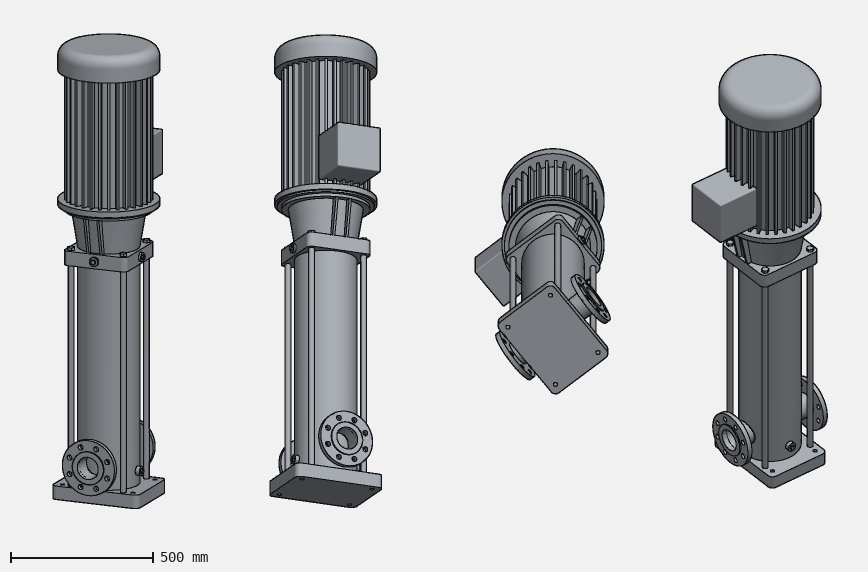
import cadquery as cq
import math

TOTAL_HEIGHT = 1641.0

FOOT_LENGTH = 333.0
PLATE_WIDTH = 248.0
FOOT_HEIGHT = 50.0
PLATE_CORNER_RADIUS = 20.0
FOOT_HOLE_DIAMETER = 14.0
FOOT_HOLE_X = 135.0
FOOT_HOLE_Y = 95.0

HEAD_LENGTH = 243.0
SLEEVE_DIAMETER = 220.0
HEAD_BOTTOM = 857.0
HEAD_TOP = 909.0
ROD_DIAMETER = 21.0
ROD_OFFSET = 100.0
NUT_ACROSS_CORNERS = 26.0
NUT_HEIGHT = 10.0

PORT_HEIGHT = 145.0
PORT_REACH = 182.0
PIPE_DIAMETER = 89.0
BORE_DIAMETER = 80.0
FLANGE_DIAMETER = 200.0
FLANGE_THICKNESS = 18.0
RAISED_FACE_DIAMETER = 120.0
RAISED_FACE_HEIGHT = 5.0
PORT_BOLT_COUNT = 8
PORT_BOLT_CIRCLE = 156.0
PORT_BOLT_DIAMETER = 18.0

PLUG_DIAMETER = 33.0
PLUG_HEX = 18.0
PLUG_HEX_HEIGHT = 7.0
DRAIN_HEIGHT = 103.0
DRAIN_COLLAR_REACH = 125.0
VENT_HEIGHT = (HEAD_BOTTOM + HEAD_TOP) / 2
VENT_COLLAR_HEIGHT = 8.0

LANTERN_TOP = 1042.0
LANTERN_RIM_DIAMETER = 310.0
LANTERN_RIM_HEIGHT = 11.0
LANTERN_TOP_DIAMETER = 265.0
RIB_THICKNESS = 8.0
RIB_SPACING = 51.0
RIB_TOP_REACH = 153.0

MOTOR_DIAMETER = 360.0
MOTOR_FLANGE_BOTTOM = 1060.0
MOTOR_FLANGE_TOP = 1081.0
SPIGOT_DIAMETER = 341.0
FIN_COUNT = 30
FIN_THICKNESS = 8.0
FIN_TIP_DIAMETER = 310.0
CORE_DIAMETER = 263.0
CAP_BOTTOM = 1550.0
CROWN_RADIUS = 40.0

BOX_SIZE = 164.0
BOX_BOTTOM = 1108.0
BOX_REACH = 285.0
BOX_INNER = 123.0
BOX_EDGE_RADIUS = 5.0


def cylinder(diameter, bottom, top):
    """Upright cylinder on the shaft axis."""
    return cq.Workplane("XY").workplane(offset=bottom).circle(diameter / 2).extrude(top - bottom)


def square_points(x, y):
    """Four points mirrored about both horizontal axes."""
    return [(sx * x, sy * y) for sx in (-1, 1) for sy in (-1, 1)]


def plate(length, bottom, top):
    """Rectangular plate with rounded upright corners."""
    block = cq.Workplane("XY").box(length, PLATE_WIDTH, top - bottom, centered=(True, True, False))
    return block.edges("|Z").fillet(PLATE_CORNER_RADIUS).translate((0, 0, bottom))


def make_foot():
    holes = (
        cq.Workplane("XY")
        .pushPoints(square_points(FOOT_HOLE_X, FOOT_HOLE_Y))
        .circle(FOOT_HOLE_DIAMETER / 2)
        .extrude(FOOT_HEIGHT)
    )
    return plate(FOOT_LENGTH, 0, FOOT_HEIGHT).cut(holes)


def make_tie_rods():
    """Four rods between the plates, each with a hexagon nut on the head plate."""
    corners = square_points(ROD_OFFSET, ROD_OFFSET)
    rods = (
        cq.Workplane("XY").workplane(offset=FOOT_HEIGHT).pushPoints(corners)
        .circle(ROD_DIAMETER / 2).extrude(HEAD_BOTTOM - FOOT_HEIGHT)
    )
    nuts = (
        cq.Workplane("XY").workplane(offset=HEAD_TOP).pushPoints(corners)
        .polygon(6, NUT_ACROSS_CORNERS).extrude(NUT_HEIGHT)
    )
    return rods.union(nuts)


def make_port():
    """Flanged pipe stub pointing to -Y, open down to the sleeve wall."""
    flange_face = PORT_REACH - RAISED_FACE_HEIGHT
    flange_back = flange_face - FLANGE_THICKNESS
    axis = cq.Workplane("XZ").center(0, PORT_HEIGHT)
    port = axis.circle(PIPE_DIAMETER / 2).extrude(flange_face)
    port = port.union(
        axis.workplane(offset=flange_back).circle(FLANGE_DIAMETER / 2).extrude(FLANGE_THICKNESS)
    )
    port = port.union(
        axis.workplane(offset=flange_face).circle(RAISED_FACE_DIAMETER / 2).extrude(RAISED_FACE_HEIGHT)
    )
    bolt_holes = (
        axis.workplane(offset=flange_back)
        .polarArray(PORT_BOLT_CIRCLE / 2, 180 / PORT_BOLT_COUNT, 360, PORT_BOLT_COUNT)
        .circle(PORT_BOLT_DIAMETER / 2)
        .extrude(FLANGE_THICKNESS + RAISED_FACE_HEIGHT)
    )
    bore = axis.circle(BORE_DIAMETER / 2).extrude(PORT_REACH)
    return port.cut(bolt_holes).cut(bore)


def make_plug(height, collar_end):
    """Screw plug pointing to +X: a round collar with a hexagon on its end."""
    axis = cq.Workplane("YZ").center(0, height)
    collar = axis.circle(PLUG_DIAMETER / 2).extrude(collar_end)
    return collar.union(axis.workplane(offset=collar_end).polygon(6, PLUG_HEX).extrude(PLUG_HEX_HEIGHT))


def make_lantern():
    """Cone with a rim on top and a pair of upright ribs on the -Y and +Y sides."""
    rim_top = LANTERN_TOP + LANTERN_RIM_HEIGHT
    lantern = (
        cq.Workplane("XZ")
        .moveTo(0, HEAD_TOP)
        .lineTo(SLEEVE_DIAMETER / 2, HEAD_TOP)
        .lineTo(LANTERN_TOP_DIAMETER / 2, LANTERN_TOP)
        .lineTo(0, LANTERN_TOP)
        .close()
        .revolve(360, (0, 0, 0), (0, 1, 0))
    )
    lantern = lantern.union(cylinder(LANTERN_RIM_DIAMETER, LANTERN_TOP, rim_top))
    lantern = lantern.union(cylinder(SPIGOT_DIAMETER, rim_top, MOTOR_FLANGE_BOTTOM))
    rib_outline = [
        (-PLATE_WIDTH / 2, HEAD_TOP),
        (PLATE_WIDTH / 2, HEAD_TOP),
        (RIB_TOP_REACH, LANTERN_TOP),
        (-RIB_TOP_REACH, LANTERN_TOP),
    ]
    rib = cq.Workplane("YZ").polyline(rib_outline).close().extrude(RIB_THICKNESS / 2, both=True)
    for side in (-1, 1):
        lantern = lantern.union(rib.translate((side * RIB_SPACING / 2, 0, 0)))
    return lantern


def make_finned_body():
    """Motor core with straight upright cooling fins ending on a common tip circle."""
    tip_radius = FIN_TIP_DIAMETER / 2
    half_fin = FIN_THICKNESS / 2
    tip_x = math.sqrt(tip_radius**2 - half_fin**2)
    length = CAP_BOTTOM - MOTOR_FLANGE_TOP
    fin = (
        cq.Workplane("XY").workplane(offset=MOTOR_FLANGE_TOP)
        .moveTo(0, -half_fin)
        .lineTo(tip_x, -half_fin)
        .threePointArc((tip_radius, 0), (tip_x, half_fin))
        .lineTo(0, half_fin)
        .close()
        .extrude(length)
        .val()
    )
    pitch = 360 / FIN_COUNT
    fins = [fin.rotate((0, 0, 0), (0, 0, 1), (i + 0.5) * pitch) for i in range(FIN_COUNT)]
    core = cylinder(CORE_DIAMETER, MOTOR_FLANGE_TOP, CAP_BOTTOM).val()
    return cq.Workplane(core.fuse(*fins))


def make_motor():
    motor = make_finned_body()
    motor = motor.union(cylinder(MOTOR_DIAMETER, MOTOR_FLANGE_BOTTOM, MOTOR_FLANGE_TOP))
    cap = cylinder(MOTOR_DIAMETER, CAP_BOTTOM, TOTAL_HEIGHT).faces(">Z").edges().fillet(CROWN_RADIUS)
    return motor.union(cap)


def make_terminal_box():
    box = cq.Workplane("XY").box(BOX_SIZE, BOX_REACH - BOX_INNER, BOX_SIZE, centered=(True, False, False))
    box = box.edges("|Y or >Y").fillet(BOX_EDGE_RADIUS)
    return box.translate((0, BOX_INNER, BOX_BOTTOM))


def turned(part, angle):
    """Part turned about the shaft axis."""
    return part.rotate((0, 0, 0), (0, 0, 1), angle)


port = make_port()
drain_plug = make_plug(DRAIN_HEIGHT, DRAIN_COLLAR_REACH)
side_vent = make_plug(VENT_HEIGHT, HEAD_LENGTH / 2 + VENT_COLLAR_HEIGHT)
front_vent = turned(make_plug(VENT_HEIGHT, PLATE_WIDTH / 2 + VENT_COLLAR_HEIGHT), -90)

result = make_foot()
result = result.union(port).union(turned(port, 180))
result = result.union(cylinder(SLEEVE_DIAMETER, FOOT_HEIGHT, HEAD_BOTTOM))
result = result.union(plate(HEAD_LENGTH, HEAD_BOTTOM, HEAD_TOP))
result = result.union(make_tie_rods())
result = result.union(drain_plug).union(turned(drain_plug, 180))
result = result.union(side_vent).union(front_vent)
result = result.union(make_lantern())
result = result.union(make_motor())
result = result.union(make_terminal_box())